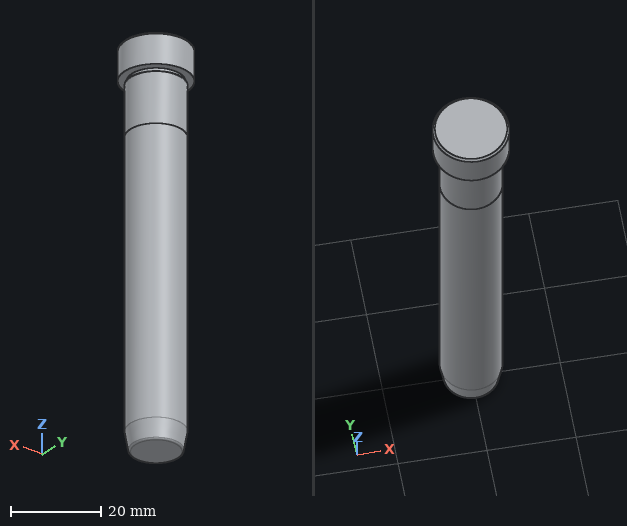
import cadquery as cq
import math

total_length = 100.0
head_diameter = 17.0
head_height = 8.0
head_chamfer = 0.5

shank_diameter = 14.0
joint_depth = 22.0

groove_diameter = 13.0
groove_width = 1.0
groove_fillet = 0.4

taper_length = 5.0
taper_angle = 10.0
tip_fillet = 0.5

head_radius = head_diameter / 2
shank_radius = shank_diameter / 2
groove_radius = groove_diameter / 2
tip_radius = shank_radius - taper_length * math.tan(math.radians(taper_angle))
head_bottom = total_length - head_height
groove_bottom = head_bottom - groove_width
joint_height = total_length - joint_depth


def make_headed_shank():
    """Chamfered head and upper shank with the relief groove between them."""
    shank = cq.Workplane("XY").workplane(offset=joint_height).circle(shank_radius).extrude(
        groove_bottom - joint_height
    )
    neck = (
        cq.Workplane("XY")
        .workplane(offset=groove_bottom)
        .circle(groove_radius)
        .extrude(groove_width)
    )
    head = (
        cq.Workplane("XY")
        .workplane(offset=head_bottom)
        .circle(head_radius)
        .extrude(head_height)
        .faces(">Z")
        .chamfer(head_chamfer)
    )
    body = shank.union(neck).union(head)
    groove_root = cq.selectors.RadiusNthSelector(0)
    return body.edges("%CIRCLE").edges(groove_root).edges("<Z").fillet(groove_fillet)


def make_guide_shank():
    """Long lower shank with a conical lead-in and a rounded tip."""
    return (
        cq.Workplane("XZ")
        .lineTo(tip_radius, 0)
        .lineTo(shank_radius, taper_length)
        .lineTo(shank_radius, joint_height)
        .lineTo(0, joint_height)
        .close()
        .revolve()
        .faces("<Z")
        .edges()
        .fillet(tip_fillet)
    )


headed_shank = make_headed_shank()
guide_shank = make_guide_shank()

result = cq.Compound.makeCompound([headed_shank.val(), guide_shank.val()])